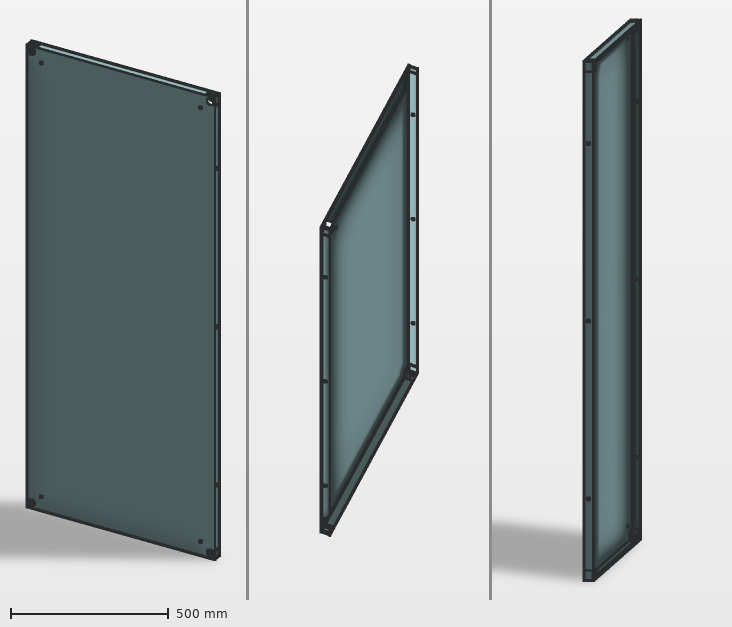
import cadquery as cq

width = 690.0
depth = 32.0
height = 1680.0

sheet = 2.0
lip = 10.0
corner_width = 35.0
corner_height = 34.0

corner_hole_diameter = 24.0
tab_hole_diameter = 15.0
corner_hole_inset_x = 18.0
corner_hole_inset_z = 20.0
face_hole_diameter = 9.0
face_hole_inset_x = 54.0
face_hole_inset_z = 52.0
side_hole_diameter = 9.5
side_hole_pitch = 575.0


def box(size_x, size_y, size_z, x=0, y=0, z=0):
    return cq.Workplane("XY").box(size_x, size_y, size_z).translate((x, y, z))


def mirrored_points(inset_x, inset_z):
    """Four points, one near each corner of the face."""
    x = width / 2 - inset_x
    z = height / 2 - inset_z
    return [(-x, -z), (-x, z), (x, -z), (x, z)]


def drills_along_y(points, diameter, direction):
    """Drills from mid-depth through the face sheet (-1) or through the back (+1)."""
    return (
        cq.Workplane("XZ")
        .pushPoints(points)
        .circle(diameter / 2)
        .extrude(-direction * depth)
    )


def make_tray():
    """Face sheet with four walls, a return lip around the open back and a tab at each corner."""
    outer = box(width, depth, height)
    cavity = box(width - 2 * sheet, depth - 2 * sheet, height - 2 * sheet)
    back_opening = box(width - 2 * lip, depth, height - 2 * lip, y=depth / 2)
    tray = outer.cut(cavity).cut(back_opening)
    for x, z in mirrored_points(corner_width / 2, corner_height / 2):
        tray = tray.union(box(corner_width, sheet, corner_height, x=x, y=(depth - sheet) / 2, z=z))
    return tray


def make_corners(tray):
    """Open the end walls beside each corner and step the side walls inward there."""
    opening_width = corner_width - lip
    inner_depth = depth - 2 * sheet
    for x, z in mirrored_points((corner_width + lip) / 2, sheet / 2):
        tray = tray.cut(box(opening_width, inner_depth, sheet, x=x, z=z))
    for x, z in mirrored_points(1.5 * sheet, corner_height / 2):
        tray = tray.union(box(sheet, depth, corner_height, x=x, z=z))
    for x, z in mirrored_points(sheet / 2, corner_height / 2):
        tray = tray.cut(box(sheet, inner_depth, corner_height, x=x, z=z))
    return tray


def side_holes():
    """Row of three holes through both side walls."""
    points = [(0, step * side_hole_pitch) for step in (-1, 0, 1)]
    return (
        cq.Workplane("YZ")
        .pushPoints(points)
        .circle(side_hole_diameter / 2)
        .extrude(width, both=True)
    )


corner_points = mirrored_points(corner_hole_inset_x, corner_hole_inset_z)
face_points = mirrored_points(face_hole_inset_x, face_hole_inset_z)

result = (
    make_corners(make_tray())
    .cut(drills_along_y(corner_points, corner_hole_diameter, -1))
    .cut(drills_along_y(corner_points, tab_hole_diameter, 1))
    .cut(drills_along_y(face_points, face_hole_diameter, -1))
    .cut(side_holes())
)